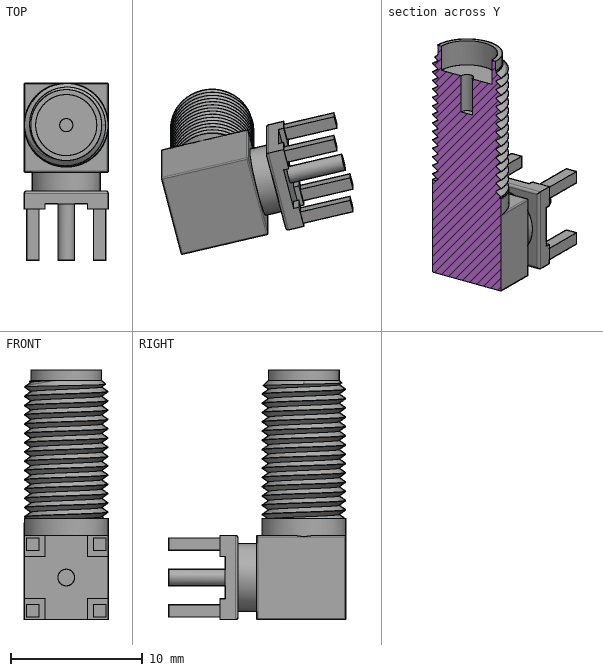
import cadquery as cq


overall_height = 19.0
thread_diameter = 6.35
thread_bottom = 7.7
thread_top = 18.2
inch = 25.4
threads_per_inch = 36
thread_pitch = inch / threads_per_inch
thread_depth = 0.475
crest_flat = 0.03
boolean_tolerance = 1e-4
first_groove_offset = 0.12
groove_overrun = 2 * thread_pitch
groove_clearance = 0.12
rim_diameter = 5.4
bore_diameter = 4.65
bore_depth = 2.0
socket_diameter = 1.0
socket_depth = 3.0

body_width = 6.4
body_height = 6.4
body_depth = 6.8
body_edge_radius = 0.1
body_back = body_width / 2
collar_diameter = body_width
body_front = body_back - body_depth
signal_height = body_height / 2

neck_diameter = 5.2
flange_setback = 8.2
flange_back = body_back - flange_setback
plate_thickness = 1.0
foot_height = 0.4
foot_size = 1.6
flange_edge_radius = 0.2
plate_front = flange_back - plate_thickness
foot_front = plate_front - foot_height

overall_depth = 13.5
pin_tip = body_back - overall_depth
ground_pin_spacing = 5.08
ground_pin_size = 0.95
signal_pin_diameter = 1.27

CORNERS = [(x_side, z_side) for x_side in (-1, 1) for z_side in (-1, 1)]


def bar_along_y(width, height, center_x, center_z, y_start, y_end):
    """Rectangular bar running toward -Y from y_start to y_end."""
    return (
        cq.Workplane("XZ", origin=(center_x, y_start, center_z))
        .rect(width, height)
        .extrude(y_start - y_end)
    )


def rod_along_y(diameter, y_start, y_end):
    """Round rod on the signal axis running toward -Y from y_start to y_end."""
    return (
        cq.Workplane("XZ", origin=(0, y_start, signal_height))
        .circle(diameter / 2)
        .extrude(y_start - y_end)
    )


def cylinder_along_z(diameter, z_bottom, z_top):
    """Round cylinder on the barrel axis between two heights."""
    return (
        cq.Workplane("XY", origin=(0, 0, z_bottom))
        .circle(diameter / 2)
        .extrude(z_top - z_bottom)
    )


def make_body():
    """Block with lightly rounded edges."""
    block = bar_along_y(body_width, body_height, 0, signal_height, body_back, body_front)
    return block.edges().fillet(body_edge_radius)


def make_thread_groove():
    """Right-hand helical V-groove that runs past both ends of the thread."""
    start = thread_bottom + first_groove_offset - groove_overrun
    length = thread_top - start + groove_overrun
    crest_radius = thread_diameter / 2
    root_radius = crest_radius - thread_depth
    outer_radius = crest_radius + groove_clearance
    half_width = (thread_pitch - crest_flat) / 2
    path = cq.Workplane(obj=cq.Wire.makeHelix(thread_pitch, length, crest_radius))
    groove = (
        cq.Workplane("XZ")
        .moveTo(root_radius, 0)
        .lineTo(crest_radius, half_width)
        .lineTo(outer_radius, half_width)
        .lineTo(outer_radius, -half_width)
        .lineTo(crest_radius, -half_width)
        .close()
        .sweep(path, isFrenet=True)
    )
    return groove.translate((0, 0, start))


def make_barrel():
    """Plain collar seated in the rounded block edges, chamfered thread, and rim at the open end."""
    thread = cylinder_along_z(thread_diameter, thread_bottom, thread_top)
    thread = thread.faces(">Z").chamfer((thread_diameter - rim_diameter) / 2)
    thread = thread.cut(make_thread_groove(), tol=boolean_tolerance)
    collar = cylinder_along_z(collar_diameter, body_height - body_edge_radius, thread_bottom)
    rim = cylinder_along_z(rim_diameter, thread_top, overall_height)
    return thread.union(collar).union(rim)


def make_bore():
    """Open bore at the barrel end with the centre contact socket in its floor."""
    bore_floor = overall_height - bore_depth
    bore = cylinder_along_z(bore_diameter, bore_floor, overall_height)
    socket = cylinder_along_z(socket_diameter, bore_floor - socket_depth, bore_floor)
    return bore.union(socket)


def make_flange():
    """Square plate with rounded rear edges and a standoff foot at each corner."""
    flange = bar_along_y(body_width, body_height, 0, signal_height, flange_back, plate_front)
    flange = flange.faces(">Y").edges().fillet(flange_edge_radius)
    for x_side, z_side in CORNERS:
        foot_x = x_side * (body_width - foot_size) / 2
        foot_z = signal_height + z_side * (body_height - foot_size) / 2
        flange = flange.union(bar_along_y(foot_size, foot_size, foot_x, foot_z, plate_front, foot_front))
    return flange


def make_pins():
    """Four square ground pins around the round signal pin."""
    pins = rod_along_y(signal_pin_diameter, flange_back - plate_thickness / 2, pin_tip)
    for x_side, z_side in CORNERS:
        pin_x = x_side * ground_pin_spacing / 2
        pin_z = signal_height + z_side * ground_pin_spacing / 2
        pins = pins.union(bar_along_y(ground_pin_size, ground_pin_size, pin_x, pin_z, plate_front, pin_tip))
    return pins


neck = rod_along_y(neck_diameter, 0, plate_front)

base = make_body().union(neck).union(make_flange()).union(make_pins())
result = base.union(make_barrel()).cut(make_bore())